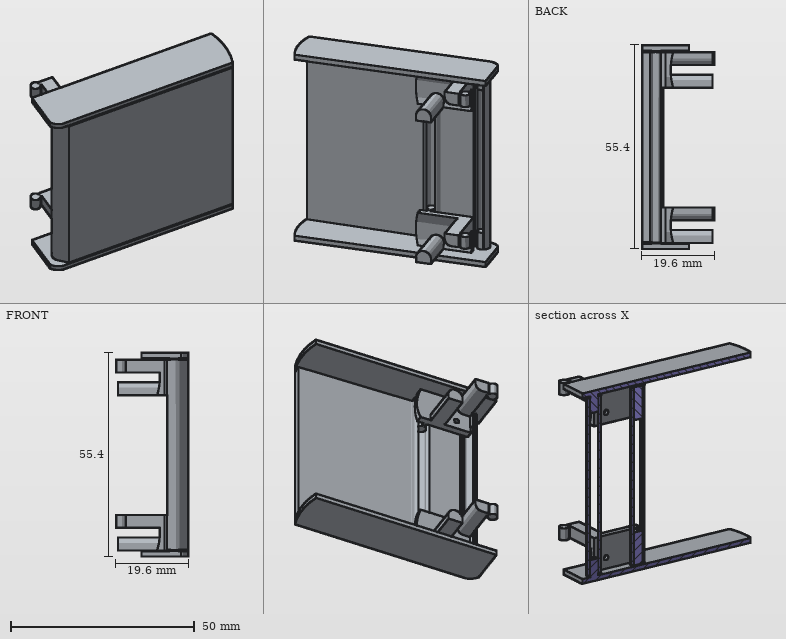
import cadquery as cq
import math


SIZE_X = 19.65
SIZE_Y = 55.85
SIZE_Z = 55.4
EDGE_SEARCH = 0.1
OUTER_X = SIZE_X / 2
LEFT_X = -SIZE_X / 2
FRONT_Y = -SIZE_Y / 2
BACK_Y = SIZE_Y / 2

HINGE_X = 5.9
HINGE_Y = -23.95
PIN_DIAMETER = 2.7
PIN_RADIUS = PIN_DIAMETER / 2
PIN_LENGTH = 4.95

PLATE_THICKNESS = 1.5
PLATE_WIDTH = 12.8
PLATE_END_RISE = 1.0
PLATE_CORNER_WIDTH = 2.0
PLATE_CORNER_LENGTH = 2.85
PLATE_CORNER_RADIUS = 4.45
PLATE_INNER_X = OUTER_X - PLATE_WIDTH
PLATE_SHOULDER_Y = BACK_Y - PLATE_END_RISE

PANEL_HEIGHT = 51.65
PANEL_BACK_Y = PLATE_SHOULDER_Y
PANEL_BACK_THICKNESS = 2.2
PANEL_HINGE_THICKNESS = 3.3
BARREL_RADIUS = 2.25
BARREL_WALL_OFFSET = 2.35

FRONT_LIP_TIP = (-1.55, -0.8)
BACK_LIP_TIP = (-0.65, 1.9)
LIP_BEVEL_ANGLE = 35.0
LIP_BEVEL_REACH = 1.25

RAIL_X = HINGE_X
RAIL_Y = -9.45
RAIL_FOOT_FILLET = 0.2
RAIL_LIP_ANGLE = 67.0
RAIL_LIP_RADIUS = (BARREL_RADIUS - PIN_RADIUS) / 2
RAIL_LIP_ORBIT = BARREL_RADIUS - RAIL_LIP_RADIUS

CLIP_HEIGHT = 9.7
CLIP_SPACING = 42.15
CLIP_TOP_Z = PANEL_HEIGHT / 2
CLIP_BACK_X = 3.4
CLIP_EDGE_THICKNESS = 2.05
CLIP_HOLLOW_DEPTH = 0.7
CLIP_FRONT_Y = -22.35
CLIP_BACK_Y = -7.05
CLIP_END_BULGE = 0.8
CLIP_TIP_X = -9.3
NECK_WIDTH = 0.85
NECK_FILLET = 0.45

ARM_WIDTH = 3.95
ARM_HEIGHT = 3.5
ARM_CORNER_RADIUS = 1.9
BEAD_X = LEFT_X + PIN_RADIUS
BEAD_NECK_HALF_WIDTH = 0.45
BEAD_NECK_OVERLAP = 0.2

ROD_Y = -12.3
ROD_WIDTH = 4.2
ROD_HEIGHT = 3.65
ROD_SIDE_HEIGHT = 2.0

HOLE_DIAMETER = 1.4
HOLE_Y = -18.25
HOLE_DEPTH_BELOW_TOP = 6.55


def post(x, y, radius, z_low, z_high):
    """Upright cylinder between two heights."""
    return cq.Workplane("XY", origin=(x, y, z_low)).circle(radius).extrude(z_high - z_low)


def prism_along_z(points, z_low, z_high):
    """Upright prism over a closed polygon of (X, Y) points."""
    return cq.Workplane("XY", origin=(0, 0, z_low)).polyline(points).close().extrude(z_high - z_low)


def block(x_range, y_range, z_low, z_high):
    """Upright rectangular block over an X range and a Y range."""
    x_low, x_high = x_range
    y_low, y_high = y_range
    return prism_along_z(
        [(x_low, y_low), (x_high, y_low), (x_high, y_high), (x_low, y_high)], z_low, z_high
    )


def fillet_upright_edge(body, x, y, radius):
    """Round the single upright edge that passes near (x, y)."""
    low_corner = (x - EDGE_SEARCH, y - EDGE_SEARCH, -SIZE_Z)
    high_corner = (x + EDGE_SEARCH, y + EDGE_SEARCH, SIZE_Z)
    selector = cq.selectors.BoxSelector(low_corner, high_corner)
    return body.edges(selector).fillet(radius)



def panel_surface_x(y):
    """X of the tapered inner face at a given Y."""
    slope = (PANEL_HINGE_THICKNESS - PANEL_BACK_THICKNESS) / (PANEL_BACK_Y - HINGE_Y)
    return OUTER_X - PANEL_BACK_THICKNESS - slope * (PANEL_BACK_Y - y)


def panel_wedge():
    """Tapered slab whose hinge end slopes at 45 degrees, tangent to the barrel."""
    tangent = BARREL_RADIUS * math.sqrt(0.5)
    tangent_x = HINGE_X + tangent
    tangent_y = HINGE_Y - tangent
    outline = [
        (panel_surface_x(PANEL_BACK_Y), PANEL_BACK_Y),
        (OUTER_X, PANEL_BACK_Y),
        (OUTER_X, tangent_y + OUTER_X - tangent_x),
        (tangent_x, tangent_y),
        (panel_surface_x(HINGE_Y), HINGE_Y),
    ]
    return prism_along_z(outline, -PANEL_HEIGHT / 2, PANEL_HEIGHT / 2)


def hinge_mouth():
    """Opening of the barrel towards -X, with a bevel on each lip and a 45-degree lead-in at the back."""
    front_lip_dx, front_lip_dy = FRONT_LIP_TIP
    back_lip_dx, back_lip_dy = BACK_LIP_TIP
    bevel_dx = LIP_BEVEL_REACH * math.sin(math.radians(LIP_BEVEL_ANGLE))
    bevel_dy = LIP_BEVEL_REACH * math.cos(math.radians(LIP_BEVEL_ANGLE))
    outside_dx = front_lip_dx - LIP_BEVEL_REACH
    offsets = [
        (0, front_lip_dy),
        (0, back_lip_dy + back_lip_dx),
        (back_lip_dx, back_lip_dy),
        (back_lip_dx + bevel_dx, back_lip_dy + bevel_dy),
        (outside_dx, back_lip_dy + bevel_dy),
        (outside_dx, front_lip_dy - bevel_dy),
        (front_lip_dx - bevel_dx, front_lip_dy - bevel_dy),
        (front_lip_dx, front_lip_dy),
    ]
    outline = [(HINGE_X + dx, HINGE_Y + dy) for dx, dy in offsets]
    return prism_along_z(outline, -PANEL_HEIGHT / 2, PANEL_HEIGHT / 2)


def rail_mouth():
    """Wedge-shaped opening of the rail towards -X, bounded by the lip centres."""
    angle = math.radians(RAIL_LIP_ANGLE)
    reach = 2 * BARREL_RADIUS
    dx = reach * math.cos(angle)
    dy = reach * math.sin(angle)
    outline = [
        (RAIL_X, RAIL_Y),
        (RAIL_X - dx, RAIL_Y + dy),
        (RAIL_X - reach, RAIL_Y),
        (RAIL_X - dx, RAIL_Y - dy),
    ]
    return prism_along_z(outline, -PANEL_HEIGHT / 2, PANEL_HEIGHT / 2)


def add_rail(panel, z_low, z_high):
    """Add the solid rail: a round bar partly sunk into the inner face and filleted to it."""
    panel = panel.union(post(RAIL_X, RAIL_Y, BARREL_RADIUS, z_low, z_high))
    for side in (-1, 1):
        foot_x = panel_surface_x(RAIL_Y + side * BARREL_RADIUS)
        foot_y = RAIL_Y + side * math.sqrt(BARREL_RADIUS**2 - (foot_x - RAIL_X) ** 2)
        panel = fillet_upright_edge(panel, foot_x, foot_y, RAIL_FOOT_FILLET)
    return panel


def add_rail_lips(panel, z_low, z_high):
    """Round off both edges of the rail mouth."""
    angle = math.radians(RAIL_LIP_ANGLE)
    lip_x = RAIL_X - RAIL_LIP_ORBIT * math.cos(angle)
    for side in (-1, 1):
        lip_y = RAIL_Y + side * RAIL_LIP_ORBIT * math.sin(angle)
        panel = panel.union(post(lip_x, lip_y, RAIL_LIP_RADIUS, z_low, z_high))
    return panel


def add_barrel(panel, z_low, z_high):
    """Add the solid hinge barrel and the straight wall on its +Y side."""
    wall = block(
        (HINGE_X - PIN_RADIUS, HINGE_X + PIN_RADIUS),
        (HINGE_Y, HINGE_Y + BARREL_WALL_OFFSET),
        z_low,
        z_high,
    )
    return panel.union(post(HINGE_X, HINGE_Y, BARREL_RADIUS, z_low, z_high)).union(wall)


def make_panel():
    z_low = -PANEL_HEIGHT / 2
    z_high = PANEL_HEIGHT / 2
    panel = add_rail(panel_wedge(), z_low, z_high)
    panel = add_barrel(panel, z_low, z_high)
    panel = panel.cut(post(HINGE_X, HINGE_Y, PIN_RADIUS, z_low, z_high))
    panel = panel.cut(post(RAIL_X, RAIL_Y, PIN_RADIUS, z_low, z_high))
    panel = panel.cut(hinge_mouth())
    panel = panel.cut(rail_mouth())
    return add_rail_lips(panel, z_low, z_high)



def make_plate(side):
    """End plate with its hinge pin; side is +1 for the top plate, -1 for the bottom one."""
    face_z = SIZE_Z / 2 - PLATE_THICKNESS
    corner_x = OUTER_X - PLATE_CORNER_WIDTH
    corner_y = FRONT_Y + PLATE_CORNER_LENGTH
    plate = (
        cq.Workplane("XY", origin=(0, 0, face_z))
        .moveTo(PLATE_INNER_X, FRONT_Y)
        .lineTo(corner_x, FRONT_Y)
        .radiusArc((OUTER_X, corner_y), -PLATE_CORNER_RADIUS)
        .lineTo(OUTER_X, PLATE_SHOULDER_Y)
        .threePointArc(((PLATE_INNER_X + OUTER_X) / 2, BACK_Y), (PLATE_INNER_X, PLATE_SHOULDER_Y))
        .close()
        .extrude(PLATE_THICKNESS)
    )
    plate = plate.union(post(HINGE_X, HINGE_Y, PIN_RADIUS, face_z - PIN_LENGTH, face_z))
    if side < 0:
        plate = plate.mirror("XY")
    return plate



def clip_base(z_low, z_high):
    """Base slab with a bulged back end and a hollow cylindrical face towards -X."""
    z_middle = (z_low + z_high) / 2
    edge_x = CLIP_BACK_X - CLIP_EDGE_THICKNESS
    slab = (
        cq.Workplane("YZ", origin=(edge_x, 0, 0))
        .moveTo(CLIP_FRONT_Y, z_low)
        .lineTo(CLIP_BACK_Y, z_low)
        .threePointArc((CLIP_BACK_Y + CLIP_END_BULGE, z_middle), (CLIP_BACK_Y, z_high))
        .lineTo(CLIP_FRONT_Y, z_high)
        .close()
        .extrude(CLIP_EDGE_THICKNESS)
    )
    hollow = (
        cq.Workplane("XZ")
        .moveTo(edge_x, z_low)
        .threePointArc((edge_x + CLIP_HOLLOW_DEPTH, z_middle), (edge_x, z_high))
        .close()
        .extrude(SIZE_Y, both=True)
    )
    return slab.cut(hollow)


def clip_bulb(z_low, z_high):
    """Round bulb that fills the rail, on a straight neck."""
    neck = block(
        (CLIP_BACK_X, RAIL_X),
        (RAIL_Y - NECK_WIDTH / 2, RAIL_Y + NECK_WIDTH / 2),
        z_low,
        z_high,
    )
    return neck.union(post(RAIL_X, RAIL_Y, PIN_RADIUS, z_low, z_high))


def clip_arm(z_high):
    """Flat arm along the front, rounded underneath, with an upright round bead at its tip."""
    z_low = z_high - ARM_HEIGHT
    inner_y = CLIP_FRONT_Y + ARM_WIDTH
    bend = ARM_CORNER_RADIUS * (1 - math.sqrt(0.5))
    arm = (
        cq.Workplane("YZ", origin=(CLIP_TIP_X, 0, 0))
        .moveTo(CLIP_FRONT_Y, z_low)
        .lineTo(inner_y - ARM_CORNER_RADIUS, z_low)
        .threePointArc((inner_y - bend, z_low + bend), (inner_y, z_low + ARM_CORNER_RADIUS))
        .lineTo(inner_y, z_high)
        .lineTo(CLIP_FRONT_Y, z_high)
        .close()
        .extrude(CLIP_BACK_X - CLIP_TIP_X)
    )
    neck_low_y = HINGE_Y + PIN_RADIUS - BEAD_NECK_OVERLAP
    neck = prism_along_z(
        [
            (CLIP_TIP_X, CLIP_FRONT_Y),
            (BEAD_X - BEAD_NECK_HALF_WIDTH, neck_low_y),
            (BEAD_X + BEAD_NECK_HALF_WIDTH, neck_low_y),
            (BEAD_X + BEAD_NECK_HALF_WIDTH, CLIP_FRONT_Y),
        ],
        z_low,
        z_high,
    )
    return arm.union(neck).union(post(BEAD_X, HINGE_Y, PIN_RADIUS, z_low, z_high))


def clip_rod(z_low):
    """Peg towards -X with straight sides, a flat underside and an arched top."""
    half = ROD_WIDTH / 2
    spring_z = z_low + ROD_SIDE_HEIGHT
    return (
        cq.Workplane("YZ", origin=(CLIP_TIP_X, 0, 0))
        .moveTo(ROD_Y - half, z_low)
        .lineTo(ROD_Y + half, z_low)
        .lineTo(ROD_Y + half, spring_z)
        .threePointArc((ROD_Y, z_low + ROD_HEIGHT), (ROD_Y - half, spring_z))
        .close()
        .extrude(CLIP_BACK_X - CLIP_TIP_X)
    )


def make_clip(z_high):
    z_low = z_high - CLIP_HEIGHT
    hole = (
        cq.Workplane("YZ", origin=(0, HOLE_Y, z_high - HOLE_DEPTH_BELOW_TOP))
        .circle(HOLE_DIAMETER / 2)
        .extrude(CLIP_BACK_X)
    )
    clip = clip_base(z_low, z_high)
    clip = clip.union(clip_bulb(z_low, z_high))
    for side in (-1, 1):
        neck_y = RAIL_Y + side * NECK_WIDTH / 2
        clip = fillet_upright_edge(clip, CLIP_BACK_X, neck_y, NECK_FILLET)
    clip = clip.union(clip_arm(z_high))
    clip = clip.union(clip_rod(z_low))
    return clip.cut(hole)


panel = make_panel()
plates = [make_plate(side) for side in (1, -1)]
clips = [make_clip(CLIP_TOP_Z - index * CLIP_SPACING) for index in range(2)]

result = cq.Compound.makeCompound(
    [panel.val(), *[plate.val() for plate in plates], *[clip.val() for clip in clips]]
)